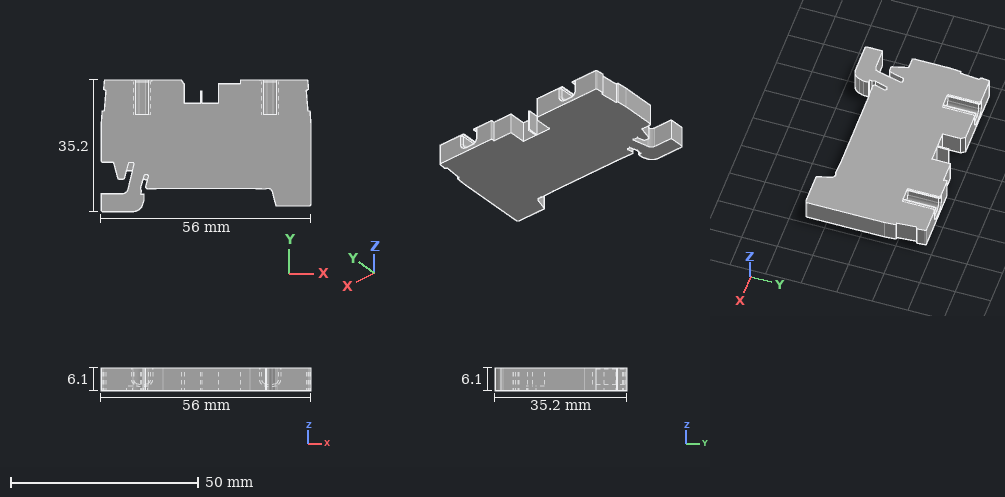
import cadquery as cq
import math

length = 56.0
height = 35.2
thickness = 6.1

shoulder_start_y = 23.8
shoulder_y = 26.95
shoulder_inset = 0.2
neck_inset = 0.8
neck_top_inset = 1.25
neck_top_y = 32.35
head_y = 32.7
head_inset = 0.6
top_inset = 0.85
top_corner_round = 0.35

well_left = 22.2
well_right = 31.25
well_floor_y = 29.0
well_lead_in_x = 0.8
well_lead_in_y = 1.2
ledge_right = 37.1
ledge_y = 34.2
ledge_round = 0.15
blade_x = 26.7
blade_width = 0.4
blade_top_y = 32.2

base_y = 6.2
base_low_y = 6.05
base_flat_left = 16.5
base_flat_right = 39.75
base_low_right = 43.8
relief_left = 44.1
relief_right = 45.4
relief_round = 1.1
fixed_foot_left_round = 0.4
fixed_foot_right_round = 0.55
fixed_foot_left = 46.65
fixed_foot_y = 1.5

foot_top_y = 4.9
foot_corner_round = 0.45
foot_nose_x = 11.5
foot_nose_bottom_y = 3.2
foot_nose_top_y = 4.7
foot_sole_right = 10.5
foot_sole_round = 2.75
foot_notch_x = 10.6

arm_left_x = 6.85
arm_left_round = 1.4
arm_right_x = 10.75
arm_right_y = 5.45
arm_knee_x = 10.5
arm_knee_y = 6.3

wide_slot_left = 7.35
wide_slot_right = 8.85
wide_slot_end_y = 13.2
wide_slot_round = 0.45

narrow_slot_left = 11.55
narrow_slot_right = 12.75
narrow_slot_end_y = 9.95
narrow_slot_round = 0.5
narrow_slot_mouth_x = 11.6
narrow_slot_mouth_round = 0.7

latch_bottom_y = 8.7
latch_bottom_left = 4.5
latch_bottom_right = 6.15
latch_left_round = 0.45
latch_right_round = 0.55
latch_root_x = 3.25
latch_root_round = 0.3
body_corner_y = 13.2
body_corner_round = 0.4

web_thickness = 1.25
web_overlap = 0.4
wide_web_edge_y = 10.9
wide_web_left = 6.15
wide_web_right = 8.4
narrow_web_left = 10.65
narrow_web_right = 12.6
narrow_web_left_y = 8.9
narrow_web_right_y = 8.35

wire_hole_x = 10.9
wire_hole_width = 4.6
wire_hole_length = 9.25
wire_hole_depth = 4.35
wire_hole_round = 1.45
wire_slot_width = 3.4
lip_thickness = 0.3
mouth_chamfer = 0.55
mouth_edge_margin = 0.05


def rounded_outline(corners):
    """Closed outline through (x, y, radius) corners; radius 0 leaves a corner sharp."""
    path = []
    for i, (x, y, radius) in enumerate(corners):
        if radius == 0:
            path.append(((x, y),))
            continue
        back_x, back_y, _ = corners[i - 1]
        next_x, next_y, _ = corners[(i + 1) % len(corners)]
        back = cq.Vector(back_x - x, back_y - y).normalized()
        ahead = cq.Vector(next_x - x, next_y - y).normalized()
        half_angle = back.getAngle(ahead) / 2
        setback = radius / math.tan(half_angle)
        arc_gap = radius / math.sin(half_angle) - radius
        corner = cq.Vector(x, y)
        points = (
            corner + back * setback,
            corner + (back + ahead).normalized() * arc_gap,
            corner + ahead * setback,
        )
        path.append(tuple((p.x, p.y) for p in points))

    outline = cq.Workplane("XY").moveTo(*path[0][-1])
    for piece in path[1:] + path[:1]:
        outline = outline.lineTo(*piece[0])
        if len(piece) > 1:
            outline = outline.threePointArc(piece[1], piece[2])
    return outline.close()


def shoulder_corners():
    """Left shoulder from bottom to top; the right one is its mirror image."""
    return [
        (0, shoulder_start_y, 0),
        (shoulder_inset, shoulder_y, 0),
        (neck_inset, shoulder_y, 0),
        (neck_top_inset, neck_top_y, 0),
        (head_inset, head_y, 0),
        (top_inset, height, top_corner_round),
    ]


def make_body():
    left_shoulder = shoulder_corners()
    right_shoulder = [(length - x, y, r) for x, y, r in reversed(left_shoulder)]
    top_edge = [
        (well_left - well_lead_in_x, height, 0),
        (well_left, height - well_lead_in_y, 0),
        (well_left, well_floor_y, 0),
        (blade_x - blade_width / 2, well_floor_y, 0),
        (blade_x - blade_width / 2, blade_top_y, 0),
        (blade_x + blade_width / 2, blade_top_y, 0),
        (blade_x + blade_width / 2, well_floor_y, 0),
        (well_right, well_floor_y, 0),
        (well_right, ledge_y, ledge_round),
        (ledge_right, ledge_y, 0),
        (ledge_right, height, ledge_round),
    ]
    lower_edge = [
        (length, fixed_foot_y, fixed_foot_right_round),
        (fixed_foot_left, fixed_foot_y, fixed_foot_left_round),
        (relief_right, base_y, relief_round),
        (relief_left, base_y, 0),
        (base_low_right, base_low_y, 0),
        (base_flat_right, base_y, 0),
        (base_flat_left, base_y, 0),
    ]
    narrow_slot = [
        (narrow_slot_mouth_x, base_low_y, narrow_slot_mouth_round),
        (narrow_slot_right, narrow_slot_end_y, narrow_slot_round),
        (narrow_slot_left, narrow_slot_end_y, narrow_slot_round),
        (arm_knee_x, arm_knee_y, 0),
        (arm_right_x, arm_right_y, 0),
    ]
    foot = [
        (foot_notch_x, foot_nose_top_y, 0),
        (foot_nose_x, foot_nose_top_y, 0),
        (foot_nose_x, foot_nose_bottom_y, 0),
        (foot_sole_right, 0, foot_sole_round),
        (0, 0, foot_corner_round),
        (0, foot_top_y, 0),
    ]
    wide_slot_and_latch = [
        (arm_left_x, foot_top_y, arm_left_round),
        (wide_slot_right, wide_slot_end_y, wide_slot_round),
        (wide_slot_left, wide_slot_end_y, wide_slot_round),
        (latch_bottom_right, latch_bottom_y, latch_right_round),
        (latch_bottom_left, latch_bottom_y, latch_left_round),
        (latch_root_x, body_corner_y, latch_root_round),
        (0, body_corner_y, body_corner_round),
    ]
    corners = left_shoulder + top_edge + right_shoulder + lower_edge
    corners += narrow_slot + foot + wide_slot_and_latch
    return rounded_outline(corners).extrude(thickness)


def make_slot_webs():
    """Thin floors over the slot ends, reaching a little into the material around them."""
    wide_far_y = wide_slot_end_y + web_overlap
    narrow_far_y = narrow_slot_end_y + web_overlap
    wide_web = [
        (wide_web_left, wide_web_edge_y),
        (wide_web_right, wide_web_edge_y),
        (wide_slot_right + web_overlap, wide_far_y),
        (wide_web_left, wide_far_y),
    ]
    narrow_web = [
        (narrow_web_left, narrow_web_left_y),
        (narrow_web_right, narrow_web_right_y),
        (narrow_slot_right + web_overlap, narrow_far_y),
        (narrow_web_left, narrow_far_y),
    ]
    wide = cq.Workplane("XY").polyline(wide_web).close().extrude(web_thickness)
    narrow = cq.Workplane("XY").polyline(narrow_web).close().extrude(web_thickness)
    return wide.union(narrow)


def make_wire_hole(x):
    """Cutter for one wire hole, with its origin at the mouth on the top face."""
    channel_height = wire_hole_depth - lip_thickness
    channel = (
        cq.Workplane("XY", origin=(0, -wire_hole_length, -wire_hole_depth))
        .box(wire_hole_width, wire_hole_length, channel_height, centered=(True, False, False))
        .edges("|Y and <Z")
        .fillet(wire_hole_round)
    )
    slab_width = wire_hole_width + 4 * mouth_chamfer
    slab_height = channel_height + 2 * mouth_chamfer
    slab = (
        cq.Workplane("XY", origin=(0, 0, -slab_height - lip_thickness))
        .box(slab_width, mouth_chamfer, slab_height, centered=(True, False, False))
    )
    reach = wire_hole_width / 2 + mouth_chamfer / 2
    lowest = -wire_hole_depth - mouth_chamfer / 2
    mouth_edges = cq.selectors.BoxSelector(
        (-reach, -mouth_edge_margin, lowest), (reach, mouth_edge_margin, 0), boundingbox=True
    )
    channel = channel.union(slab).edges(mouth_edges).chamfer(mouth_chamfer)
    slot = (
        cq.Workplane("XY", origin=(0, -wire_hole_length, -lip_thickness))
        .box(wire_slot_width, wire_hole_length, lip_thickness, centered=(True, False, False))
    )
    return channel.union(slot).translate((x, height, thickness))


result = make_body().union(make_slot_webs())
for hole_x in (wire_hole_x, length - wire_hole_x):
    result = result.cut(make_wire_hole(hole_x))